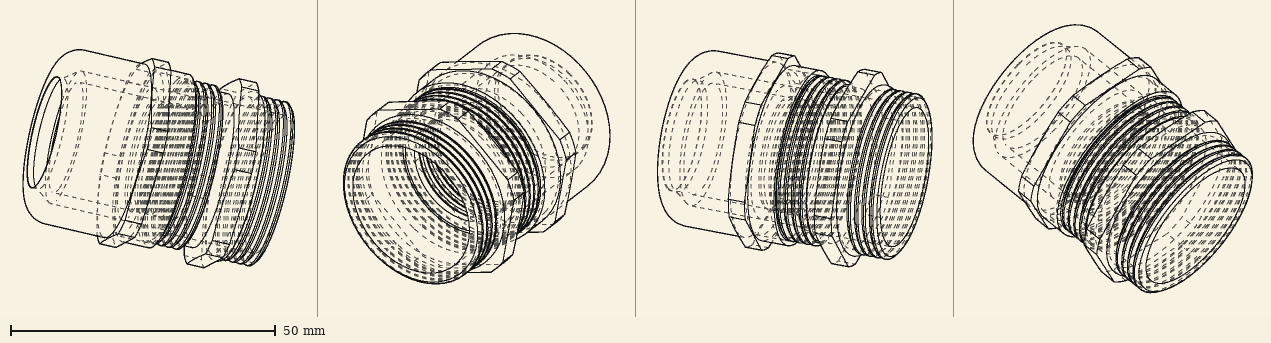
import cadquery as cq
import math


AXIS_SWING = 20.9
AXIS_DIP = 18.9

CAP_DIA = 33.7
CAP_FACE_DIA = 25.4
CAP_MOUTH_DIA = 21.6
CAP_LIP_DIA = 21.45
SEAL_DIA = 25.75
SEAL_BORE_DIA = 21.45
SEAL_GROOVE_DIA = 21.95
THREAD_DIA = 31.85
THREAD_ROOT_DIA = 30.5
NECK_DIA = 29.9
O_RING_DIA = 32.9
BODY_BORE_DIA = 26.75

HEX_FLATS = 34.25
HEX_CORNER_DIA = 37.35
HEX_FACE_ANGLE = 8.0
HEX_TURN = 30.5

THREAD_PITCH = 1.5
THREAD_CREST = 0.35
THREAD_CRESTS = 4
THREAD_LENGTH = THREAD_CRESTS * THREAD_PITCH

SEAL_GROOVE_COUNT = 4
SEAL_GROOVE_PITCH = 2.0
SEAL_GROOVE_WIDTH = 1.05
SEAL_GROOVE_START = 19.4

CAP_LIP_END = 1.3
SEAL_START = 4.3
CAP_HEX_START = 15.9
CAP_HEX_END = 19.4
BODY_START = 18.6
CAP_END = 24.7
THREAD_LEAD_START = CAP_END - 1.05
NECK_START = 30.6
SEAL_END = 27.95
BODY_HEX_START = 32.9
BODY_HEX_END = 36.85
BODY_END = 44.8
O_RING_SEAT_END = BODY_END - THREAD_LENGTH


def turned(profile):
    """Revolve a closed outline of (radius, station) points about the local Z axis."""
    return cq.Workplane("XZ").polyline(profile).close().revolve(360, (0, 0), (0, 1))


def hex_collar(start, end, inner_dia):
    """Hexagonal collar with turned-down corners and a conical front face."""
    inner = inner_dia / 2
    outer = HEX_CORNER_DIA / 2
    front_rise = (outer - inner) * math.tan(math.radians(HEX_FACE_ANGLE))
    disc = turned([(0, start), (inner, start), (outer, start + front_rise), (outer, end), (0, end)])
    corner_span = HEX_FLATS / math.cos(math.pi / 6)
    prism = cq.Workplane("XY").workplane(offset=start).polygon(6, corner_span).extrude(end - start)
    return disc.intersect(prism.rotate((0, 0, 0), (0, 0, 1), HEX_TURN))


def thread_outline(end):
    """Points of a ring thread, from the foot of its first crest to the foot of its last at `end`."""
    crest = THREAD_DIA / 2
    root = THREAD_ROOT_DIA / 2
    flank = (THREAD_PITCH - THREAD_CREST) / 2
    start = end - THREAD_LENGTH
    points = [(root, start)]
    for i in range(THREAD_CRESTS):
        foot = start + i * THREAD_PITCH
        points += [
            (crest, foot + flank),
            (crest, foot + flank + THREAD_CREST),
            (root, foot + THREAD_PITCH),
        ]
    return points


def make_cap():
    """Cap nut: rounded nose, hexagonal collar, and a cavity for the insert and the body's thread."""
    outer = CAP_DIA / 2
    face = CAP_FACE_DIA / 2
    round_radius = outer - face
    bulge = round_radius * math.sqrt(0.5)
    shell = (
        cq.Workplane("XZ")
        .moveTo(0, 0)
        .lineTo(face, 0)
        .threePointArc((face + bulge, round_radius - bulge), (outer, round_radius))
        .lineTo(outer, CAP_END)
        .lineTo(0, CAP_END)
        .close()
        .revolve(360, (0, 0), (0, 1))
    )
    shell = shell.union(hex_collar(CAP_HEX_START, CAP_HEX_END, CAP_DIA))
    mouth = CAP_MOUTH_DIA / 2
    lip = CAP_LIP_DIA / 2
    seal = SEAL_DIA / 2
    thread = THREAD_DIA / 2
    cavity = turned([
        (0, 0), (mouth, 0), (lip, mouth - lip), (lip, CAP_LIP_END), (seal, SEAL_START),
        (seal, BODY_START), (thread, BODY_START), (thread, CAP_END), (0, CAP_END),
    ])
    return shell.cut(cavity)


def make_body():
    """Double nipple: cap thread, neck, hexagonal collar, O-ring seat and mounting thread."""
    thread = THREAD_DIA / 2
    root = THREAD_ROOT_DIA / 2
    neck = NECK_DIA / 2
    outline = [(0, BODY_START), (thread, BODY_START), (thread, THREAD_LEAD_START)]
    outline += thread_outline(NECK_START)
    outline += [(neck, NECK_START), (neck, BODY_HEX_END), (root, BODY_HEX_END)]
    outline += thread_outline(BODY_END)
    outline.append((0, BODY_END))
    barrel = turned(outline).union(hex_collar(BODY_HEX_START, BODY_HEX_END, NECK_DIA))
    seal = SEAL_DIA / 2
    bore = BODY_BORE_DIA / 2
    hollow = turned([
        (0, BODY_START), (seal, BODY_START), (seal, SEAL_END),
        (bore, SEAL_END), (bore, BODY_END), (0, BODY_END),
    ])
    return barrel.cut(hollow)


def make_seal():
    """Sealing insert: a sleeve with ring grooves in its bore."""
    outer = SEAL_DIA / 2
    bore = SEAL_BORE_DIA / 2
    groove = SEAL_GROOVE_DIA / 2
    outline = [(outer, SEAL_END), (outer, SEAL_START), (bore, SEAL_START)]
    for i in range(SEAL_GROOVE_COUNT):
        start = SEAL_GROOVE_START + i * SEAL_GROOVE_PITCH
        outline += [
            (bore, start),
            (groove, start + SEAL_GROOVE_WIDTH / 2),
            (bore, start + SEAL_GROOVE_WIDTH),
        ]
    outline.append((bore, SEAL_END))
    return turned(outline)


def make_o_ring():
    """O-ring on its seat behind the body's hexagon, with a rounded outside."""
    seat = THREAD_ROOT_DIA / 2
    middle = (BODY_HEX_END + O_RING_SEAT_END) / 2
    return (
        cq.Workplane("XZ")
        .moveTo(seat, BODY_HEX_END)
        .threePointArc((O_RING_DIA / 2, middle), (seat, O_RING_SEAT_END))
        .close()
        .revolve(360, (0, 0), (0, 1))
    )


def laid_along_axis(body):
    """Turn local Z onto the gland axis: Z to X, then the swing about Z and the dip about Y."""
    return (
        body.rotate((0, 0, 0), (0, 1, 0), 90)
        .rotate((0, 0, 0), (0, 0, 1), AXIS_SWING)
        .rotate((0, 0, 0), (0, 1, 0), AXIS_DIP)
    )


cap = laid_along_axis(make_cap())
body = laid_along_axis(make_body())
seal = laid_along_axis(make_seal())
o_ring = laid_along_axis(make_o_ring())

result = cq.Compound.makeCompound([cap.val(), body.val(), seal.val(), o_ring.val()])